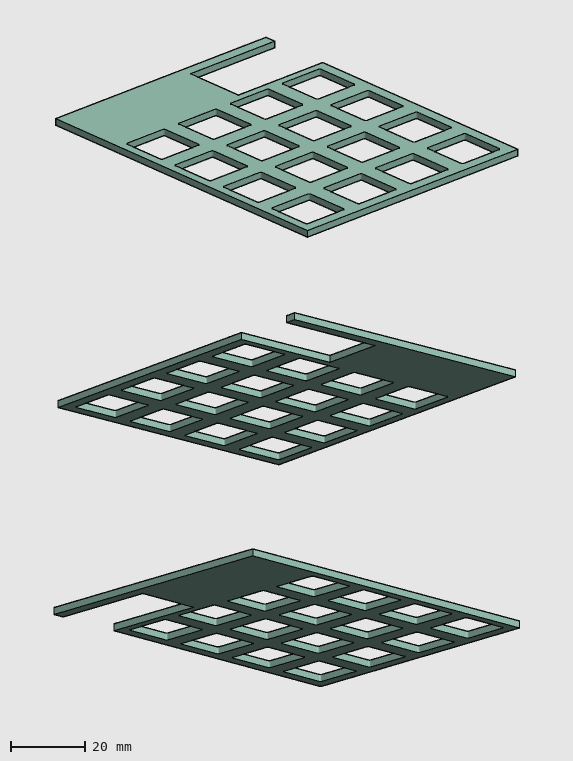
import cadquery as cq

length = 99.2
width = 77.3
thickness = 2.0

window_count = 4
window_size = 14.0
window_pitch = 19.05
window_corner_radius = 0.5
right_margin = 3.3
bottom_margin = 2.8

arm_width = 3.5
notch_width = 18.9
notch_depth = 31.0


def make_plate():
    """Flat plate with its front left bottom corner at the origin."""
    return cq.Workplane("XY").box(length, width, thickness, centered=False)


def make_notch():
    """Rectangular cutter for the notch at the back edge."""
    return (
        cq.Workplane("XY")
        .box(notch_width, notch_depth, thickness, centered=False)
        .translate((arm_width, width - notch_depth, 0))
    )


def make_windows():
    """Cutters for the grid of windows, placed from the right and front edges."""
    grid_span = (window_count - 1) * window_pitch + window_size
    grid_center_x = length - right_margin - grid_span / 2
    grid_center_y = bottom_margin + grid_span / 2
    return (
        cq.Workplane("XY")
        .center(grid_center_x, grid_center_y)
        .rarray(window_pitch, window_pitch, window_count, window_count)
        .rect(window_size, window_size)
        .extrude(thickness)
        .edges("|Z")
        .fillet(window_corner_radius)
    )


result = make_plate().cut(make_notch()).cut(make_windows())